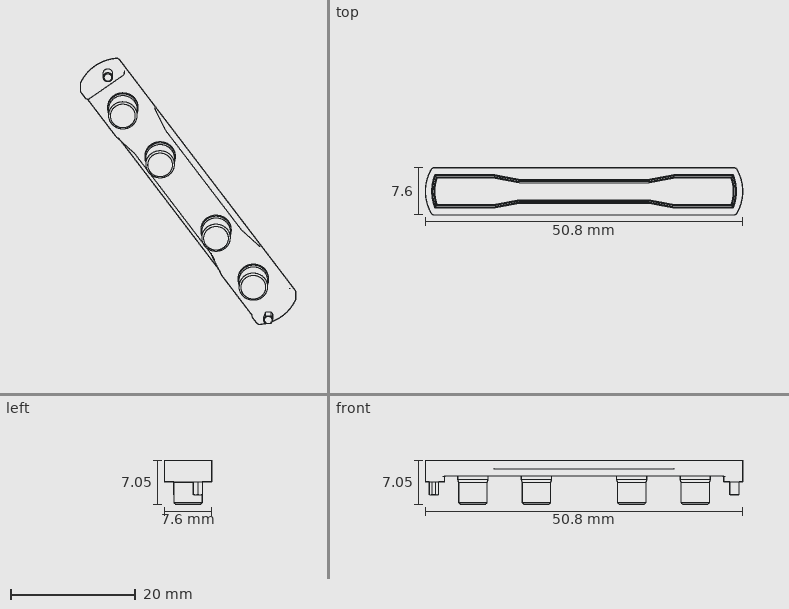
import cadquery as cq
import math

LENGTH = 50.8
WIDTH = 7.6
BAR_HEIGHT = 2.55
END_RADIUS = 7.0
CORNER_RADIUS = 0.65
EDGE_ROUND = 0.1

FOOT_BOTTOM = 3.45
FOOT_LENGTH = 3.1
FOOT_CORNER_RADIUS = 0.45

POCKET_DEPTH = 0.95
POCKET_LENGTH = 48.5
POCKET_WIDTH = 5.1
POCKET_DRAFT_ANGLE = 16.0
POCKET_EDGE_CHAMFER = 0.125
RIM_FLARE_ANGLE = 45.0
WAIST_WIDTH = 3.55
WAIST_END = 10.35
TAPER_END = 14.45

RELIEF_TOP = 1.4
RELIEF_DEPTH = (POCKET_WIDTH - WAIST_WIDTH) / 2

TOTAL_HEIGHT = 7.05
POST_POSITIONS = (-17.8, -7.6, 7.6, 17.8)
POST_DIAMETER = 4.55
POST_CHAMFER = 0.3
COLLAR_DIAMETER = 4.9
COLLAR_CONE_TOP = 3.1
COLLAR_BOTTOM = 3.55

PIN_X = 24.05
PIN_Y = 1.6
PIN_DIAMETER = 1.5
PIN_BOTTOM = 5.6
PIN_CHAMFER = 0.15
DIAMOND_LAND = 0.55


def bow_of(width):
    """Rise of an end arc across the given width."""
    return END_RADIUS - math.sqrt(END_RADIUS**2 - (width / 2) ** 2)


def make_bar():
    end_x = LENGTH / 2
    side_y = WIDTH / 2
    corner_x = end_x - bow_of(WIDTH)
    bar = (
        cq.Workplane("XY")
        .moveTo(-corner_x, -side_y)
        .lineTo(corner_x, -side_y)
        .threePointArc((end_x, 0), (corner_x, side_y))
        .lineTo(-corner_x, side_y)
        .threePointArc((-end_x, 0), (-corner_x, -side_y))
        .close()
        .extrude(-FOOT_BOTTOM)
        .edges("|Z")
        .fillet(CORNER_RADIUS)
        .faces(">Z")
        .edges()
        .fillet(EDGE_ROUND)
    )
    foot_gap = (
        cq.Workplane("XY")
        .workplane(offset=-FOOT_BOTTOM)
        .rect(LENGTH - 2 * FOOT_LENGTH, 2 * WIDTH)
        .extrude(FOOT_BOTTOM - BAR_HEIGHT)
    )
    bar = bar.cut(foot_gap)
    foot_inner_corners = bar.faces("|X").edges("|Z")
    return foot_inner_corners.fillet(FOOT_CORNER_RADIUS)


def make_side_relief():
    """Trapezoid prism that thins the lower part of the -Y side."""
    return (
        cq.Workplane("XY")
        .workplane(offset=-BAR_HEIGHT)
        .moveTo(-TAPER_END, -WIDTH / 2)
        .lineTo(-WAIST_END, -WIDTH / 2 + RELIEF_DEPTH)
        .lineTo(WAIST_END, -WIDTH / 2 + RELIEF_DEPTH)
        .lineTo(TAPER_END, -WIDTH / 2)
        .close()
        .extrude(BAR_HEIGHT - RELIEF_TOP)
    )


def pocket_outline(margin):
    """Waisted outline of the pocket in the top face, widened all round by a margin."""
    end_x = POCKET_LENGTH / 2 + margin
    side_y = POCKET_WIDTH / 2 + margin
    waist_y = WAIST_WIDTH / 2 + margin
    corner_x = end_x - bow_of(2 * side_y)
    return (
        cq.Workplane("XY")
        .moveTo(-corner_x, -side_y)
        .lineTo(-TAPER_END, -side_y)
        .lineTo(-WAIST_END, -waist_y)
        .lineTo(WAIST_END, -waist_y)
        .lineTo(TAPER_END, -side_y)
        .lineTo(corner_x, -side_y)
        .threePointArc((end_x, 0), (corner_x, side_y))
        .lineTo(TAPER_END, side_y)
        .lineTo(WAIST_END, waist_y)
        .lineTo(-WAIST_END, waist_y)
        .lineTo(-TAPER_END, side_y)
        .lineTo(-corner_x, side_y)
        .threePointArc((-end_x, 0), (-corner_x, -side_y))
        .close()
    )


def make_pocket():
    """Volume removed from the top face: drafted walls, chamfered floor edge and flared rim."""
    well = pocket_outline(0).extrude(-POCKET_DEPTH, taper=POCKET_DRAFT_ANGLE)
    well = well.faces("<Z").edges().chamfer(POCKET_EDGE_CHAMFER)
    rim = pocket_outline(POCKET_EDGE_CHAMFER).extrude(-POCKET_EDGE_CHAMFER, taper=RIM_FLARE_ANGLE)
    return well.union(rim)


def make_post():
    """Post on the Z axis, from the underside of the bar down."""
    post_radius = POST_DIAMETER / 2
    collar_radius = COLLAR_DIAMETER / 2
    return (
        cq.Workplane("XZ")
        .moveTo(0, -BAR_HEIGHT)
        .lineTo(collar_radius, -BAR_HEIGHT)
        .lineTo(collar_radius, -COLLAR_CONE_TOP)
        .lineTo(post_radius, -COLLAR_BOTTOM)
        .lineTo(post_radius, -TOTAL_HEIGHT + POST_CHAMFER)
        .lineTo(post_radius - POST_CHAMFER, -TOTAL_HEIGHT)
        .lineTo(0, -TOTAL_HEIGHT)
        .close()
        .revolve(360, (0, 0), (0, 1))
    )


def make_round_pin():
    pin = cq.Workplane("XY").circle(PIN_DIAMETER / 2).extrude(-PIN_BOTTOM + BAR_HEIGHT)
    return pin.translate((0, 0, -BAR_HEIGHT)).faces("<Z").edges().chamfer(PIN_CHAMFER)


def make_diamond_pin():
    """Pin with round lands on +Y and -Y and flats that meet in edges on +X and -X."""
    radius = PIN_DIAMETER / 2
    land_x = DIAMOND_LAND / 2
    land_y = math.sqrt(radius**2 - land_x**2)
    tip_y = land_y * radius / (radius - land_x)
    rhombus = cq.Workplane("XY").polyline([(-radius, 0), (0, -tip_y), (radius, 0), (0, tip_y)]).close()
    return make_round_pin().intersect(rhombus.extrude(-PIN_BOTTOM))


def horizontal_faces(part, lowest, highest):
    """Flat level faces of a part whose centres lie between two heights."""
    slab = cq.selectors.BoxSelector((-LENGTH, -WIDTH, lowest), (LENGTH, WIDTH, highest))
    return part.faces("|Z").faces(slab)


relief = make_side_relief()
bar = make_bar().cut(relief).cut(relief.mirror("XZ"))
above_underside = -(RELIEF_TOP + BAR_HEIGHT) / 2
bar = horizontal_faces(bar, -TOTAL_HEIGHT, above_underside).edges().fillet(EDGE_ROUND)
bar = horizontal_faces(bar, above_underside, -RELIEF_TOP / 2).edges("<Y or >Y").fillet(EDGE_ROUND)
bar = bar.cut(make_pocket())

result = bar
for post_x in POST_POSITIONS:
    result = result.union(make_post().translate((post_x, 0, 0)))
result = result.union(make_diamond_pin().translate((-PIN_X, -PIN_Y, 0)))
result = result.union(make_round_pin().translate((PIN_X, PIN_Y, 0)))